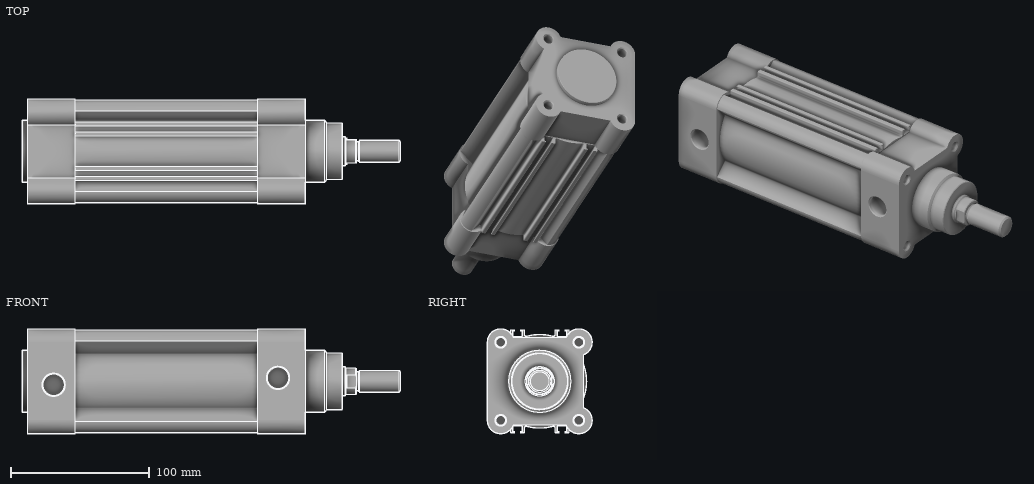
import cadquery as cq
import math


spigot_length = 4.0
cap_length = 34.5
barrel_length = 132.0
rear_cap_start = spigot_length
barrel_start = rear_cap_start + cap_length
front_cap_start = barrel_start + barrel_length
front_cap_end = front_cap_start + cap_length

cap_half_width = 38.0
cap_recessed_half_width = 31.75
bolt_offset = 56.5 / 2
cap_corner_radius = cap_half_width - bolt_offset
bolt_hole_diameter = 7.0
bolt_hole_depth = 16.0
bolt_hole_chamfer = 0.7
spigot_radius = 22.5
spigot_chamfer = 0.3
port_diameter = 15.6
port_depth = 14.0
port_chamfer = 0.6
port_offset_z = 2.5
rear_port_x = 23.0
front_port_x = 185.3

neck_length = 14.1
neck_taper_length = 1.4
collar_radius = 20.6
collar_reach = 27.0
collar_end = front_cap_end + collar_reach
collar_chamfer = 0.5
wiper_radius = 10.6
wiper_length = 1.7
wiper_taper_length = 0.8

tube_radius = 34.0
column_radius = 9.0
column_reach = bolt_offset + column_radius
column_flank_start = 29.1
column_flank_run = 13.0
barrel_fillet = 1.0
slot_floor = 32.5
slot_center = 16.1
slot_half_width = 3.3
slot_mouth_half_width = 2.1
ridge_outer_half_width = 5.2
lip_thickness = 0.8
rail_top_fillet = 0.8
lip_tip_fillet = 0.3
size_tolerance = 0.01

rod_radius = 9.7
rod_shoulder = 242.0
rod_chamfer = 0.5
flats_length = 6.9
flats_width = 17.0
undercut_radius = 7.0
undercut_length = 1.4
undercut_taper_length = 1.0
thread_radius = 8.0
thread_length = 32.0
thread_chamfer = 1.2
rod_end = rod_shoulder + thread_length


def x_cylinder(radius, start, end):
    return cq.Workplane("YZ").workplane(offset=start).circle(radius).extrude(end - start)


def revolve_about_x(points):
    return cq.Workplane("XY").polyline(points).close().revolve(360, (0, 0, 0), (1, 0, 0))


def cap_block(start):
    """Square block, flush on -Y and recessed between round bolt corners on the other three sides."""
    depth = cap_half_width + cap_recessed_half_width
    section = cq.Workplane("YZ").workplane(offset=start)
    block = (
        section.center((cap_recessed_half_width - cap_half_width) / 2, 0)
        .rect(depth, 2 * bolt_offset)
        .extrude(cap_length)
    )
    core = section.rect(2 * bolt_offset, 2 * cap_recessed_half_width).extrude(cap_length)
    corners = (
        section.rect(2 * bolt_offset, 2 * bolt_offset, forConstruction=True)
        .vertices()
        .circle(cap_corner_radius)
        .extrude(cap_length)
    )
    return block.union(core).union(corners)


def bolt_holes(face_x, direction):
    """Four chamfered blind holes that go into a cap from its outer face."""
    mouth_radius = bolt_hole_diameter / 2 + bolt_hole_chamfer
    hole = revolve_about_x([
        (0, 0),
        (0, mouth_radius),
        (bolt_hole_chamfer, bolt_hole_diameter / 2),
        (bolt_hole_depth, bolt_hole_diameter / 2),
        (bolt_hole_depth, 0),
    ])
    if direction < 0:
        hole = hole.mirror("YZ")
    holes = cq.Workplane()
    for y in (-bolt_offset, bolt_offset):
        for z in (-bolt_offset, bolt_offset):
            holes = holes.add(hole.translate((face_x, y, z)))
    return holes.combine()


def port(x, z):
    """Blind air port with a chamfered mouth, sunk into a cap from its -Y face."""
    radius = port_diameter / 2
    profile = [
        (0, 0),
        (radius + port_chamfer, 0),
        (radius, port_chamfer),
        (radius, port_depth),
        (0, port_depth),
    ]
    hole = cq.Workplane("XY").polyline(profile).close().revolve(360, (0, 0, 0), (0, 1, 0))
    return hole.translate((x, -cap_half_width, z))


def make_rear_cap():
    spigot = x_cylinder(spigot_radius, 0, spigot_length).faces("<X").chamfer(spigot_chamfer)
    cap = cap_block(rear_cap_start).union(spigot)
    return cap.cut(bolt_holes(rear_cap_start, 1)).cut(port(rear_port_x, -port_offset_z))


def make_front_cap():
    neck_end = front_cap_end + neck_length
    wiper_end = collar_end + wiper_length
    neck = revolve_about_x([
        (front_cap_end, 0),
        (front_cap_end, spigot_radius),
        (neck_end, spigot_radius),
        (neck_end + neck_taper_length, collar_radius),
        (collar_end - collar_chamfer, collar_radius),
        (collar_end, collar_radius - collar_chamfer),
        (collar_end, wiper_radius),
        (wiper_end, wiper_radius),
        (wiper_end + wiper_taper_length, rod_radius),
        (wiper_end + wiper_taper_length, 0),
    ])
    rod_bore = x_cylinder(rod_radius, front_cap_start, rod_end)
    cap = cap_block(front_cap_start).union(neck)
    cap = cap.cut(bolt_holes(front_cap_end, -1))
    return cap.cut(port(front_port_x, port_offset_z)).cut(rod_bore)


def corner_column():
    """Web and round column of the +Y +Z corner, with flanks at 45 degrees."""
    root_far = column_reach - column_flank_run
    root_near = column_flank_start - column_flank_run
    half_diagonal = bolt_offset + column_radius / math.sqrt(2)
    return (
        cq.Workplane("YZ")
        .workplane(offset=barrel_start)
        .moveTo(root_far, root_near)
        .lineTo(column_reach, column_flank_start)
        .threePointArc((half_diagonal, half_diagonal), (column_flank_start, column_reach))
        .lineTo(root_near, root_far)
        .close()
        .extrude(barrel_length)
    )


def slot_rail(side):
    """Upright block on the +Z side that carries one T-slot."""
    base = tube_radius / 2
    return (
        cq.Workplane("YZ")
        .workplane(offset=barrel_start)
        .center(side * slot_center, (base + column_reach) / 2)
        .rect(2 * ridge_outer_half_width, column_reach - base)
        .extrude(barrel_length)
    )


def slot_space(side):
    """Empty space of one T-slot: a wide lower part and a narrow mouth."""
    lip_bottom = column_reach - lip_thickness
    section = cq.Workplane("YZ").workplane(offset=barrel_start)
    wide = (
        section.center(side * slot_center, (slot_floor + lip_bottom) / 2)
        .rect(2 * slot_half_width, lip_bottom - slot_floor)
        .extrude(barrel_length)
    )
    mouth = (
        section.center(side * slot_center, (slot_floor + column_reach) / 2)
        .rect(2 * slot_mouth_half_width, column_reach - slot_floor)
        .extrude(barrel_length)
    )
    return wide.union(mouth)


def slots_and_rails(make_half):
    """Copies of one rail or slot at both sides of the +Z and -Z faces."""
    return [
        make_half(side).rotate((0, 0, 0), (1, 0, 0), turn)
        for turn in (0, 180)
        for side in (-1, 1)
    ]


def long_edges(body, choose):
    """The edges along X whose |Y| and |Z| satisfy the given condition."""
    edges = [e for e in body.edges("|X").vals() if choose(abs(e.Center().y), abs(e.Center().z))]
    return body.newObject(edges)


def at_root(y, z):
    """True at the inner corners where the tube, the columns and the slot rails meet."""
    return y < bolt_offset and z < slot_floor


def at_rail_top(y, z):
    """True at the upper corners of the slot rails."""
    return y < bolt_offset and z > column_reach - size_tolerance


def at_lip_tip(y, z):
    """True at the upper corners of the slot mouths."""
    at_tip = abs(abs(y - slot_center) - slot_mouth_half_width) < size_tolerance
    return at_tip and z > column_reach - size_tolerance


def make_barrel():
    barrel = x_cylinder(tube_radius, barrel_start, front_cap_start)
    column = corner_column()
    for quarter in range(4):
        barrel = barrel.union(column.rotate((0, 0, 0), (1, 0, 0), 90 * quarter))
    for rail in slots_and_rails(slot_rail):
        barrel = barrel.union(rail)
    barrel = long_edges(barrel, at_root).fillet(barrel_fillet)
    barrel = long_edges(barrel, at_rail_top).fillet(rail_top_fillet)
    for space in slots_and_rails(slot_space):
        barrel = barrel.cut(space)
    return long_edges(barrel, at_lip_tip).fillet(lip_tip_fillet)


def make_piston_rod():
    thread_start = rod_shoulder + undercut_length + undercut_taper_length
    rod = revolve_about_x([
        (front_cap_start, 0),
        (front_cap_start, rod_radius),
        (rod_shoulder - rod_chamfer, rod_radius),
        (rod_shoulder, rod_radius - rod_chamfer),
        (rod_shoulder, undercut_radius),
        (rod_shoulder + undercut_length, undercut_radius),
        (thread_start, thread_radius),
        (rod_end - thread_chamfer, thread_radius),
        (rod_end, thread_radius - thread_chamfer),
        (rod_end, 0),
    ])
    blank = 4 * rod_radius
    flat_cutter = (
        cq.Workplane("XY")
        .box(flats_length, blank, blank)
        .cut(cq.Workplane("XY").box(flats_length, flats_width, blank))
        .translate((rod_shoulder - flats_length / 2, 0, 0))
    )
    return rod.cut(flat_cutter)


rear_cap = make_rear_cap()
barrel = make_barrel()
front_cap = make_front_cap()
piston_rod = make_piston_rod()

result = cq.Compound.makeCompound([rear_cap.val(), barrel.val(), front_cap.val(), piston_rod.val()])